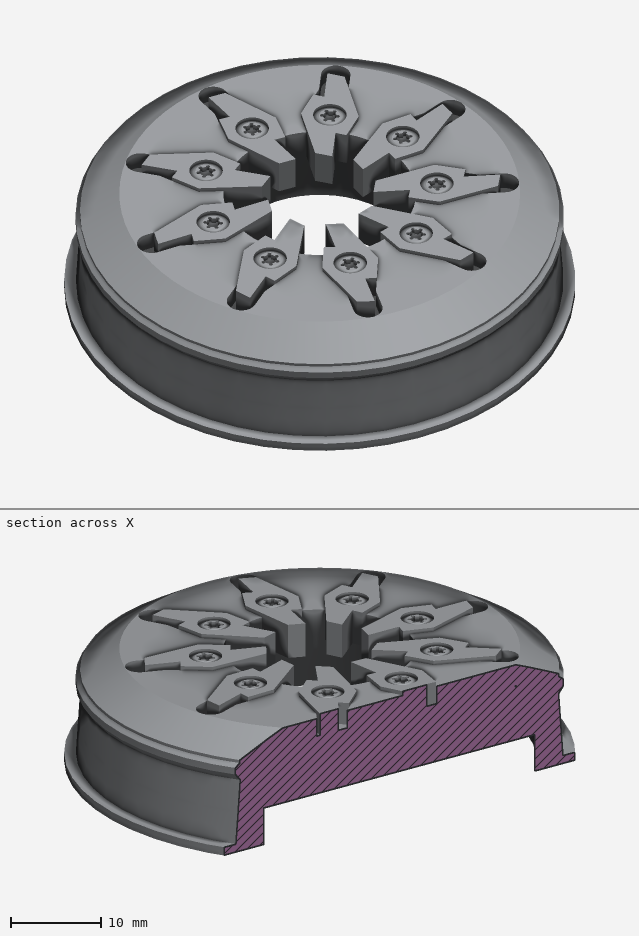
import cadquery as cq

flange_radius = 28.25
flange_height = 1.0
wall_foot_radius = 26.95
neck_radius = 26.47
bead_radius = 27.0
rim_radius = 26.5
neck_z = 8.6
bead_bottom_z = 9.4
bead_top_z = 10.2
shoulder_z = 10.65
rim_z = 11.0
face_radius = 22.15
face_z = 13.5

bore_radius = 10.65
recess_radius = 24.0
recess_depth = 4.4

insert_count = 9
insert_pitch = 360 / insert_count
insert_circle_radius = 13.0
insert_thickness = 4.0
insert_proud = 0.5
top_z = face_z + insert_proud
insert_bottom_z = top_z - insert_thickness
pocket_floor_z = 11.4

insert_half_width = 3.2
nose_corner = (1.05, 6.7)
nose_tip = (-0.89, 7.12)
notch_root = (-0.89, 3.05)
notch_corner_y = 3.35

slot_radius = 1.625
slot_edge_gap = 0.03
slot_end_radius = face_radius - slot_edge_gap - slot_radius

screw_hole_radius = 1.85
screw_head_flat_radius = 1.2
screw_gap_depth = 0.5
screw_flat_depth = 0.15
lobe_count = 6
lobe_radius = 0.22
lobe_tip_radius = 1.1
socket_core_radius = 0.75
socket_depth = 0.8
socket_cone_depth = 0.5


def edge_x(y):
    """Half width of the insert on its straight flank, at distance y from the screw."""
    return insert_half_width + (nose_corner[0] - insert_half_width) * abs(y) / nose_corner[1]


def place(shape, index):
    """Move a shape built about the screw axis to its place around the bore, the first at -Y."""
    turn = index * insert_pitch
    return shape.translate((0, -insert_circle_radius, 0)).rotate((0, 0, 0), (0, 0, 1), turn)


def make_body():
    profile = [
        (0, 0),
        (flange_radius, 0),
        (flange_radius, flange_height),
        (wall_foot_radius, flange_height),
        (neck_radius, neck_z),
        (bead_radius, bead_bottom_z),
        (bead_radius, bead_top_z),
        (rim_radius, shoulder_z),
        (rim_radius, rim_z),
        (face_radius, face_z),
        (0, face_z),
    ]
    body = cq.Workplane("XZ").polyline(profile).close().revolve(360, (0, 0, 0), (0, 1, 0))
    bore = cq.Workplane("XY").circle(bore_radius).extrude(face_z)
    recess = cq.Workplane("XY").circle(recess_radius).extrude(recess_depth)
    return body.cut(bore).cut(recess)


def make_pocket():
    """Seat of the insert without its notches, joined with the finger slot."""
    nose_x, nose_y = nose_corner
    seat = (
        cq.Workplane("XY", origin=(0, 0, pocket_floor_z))
        .polyline([
            (insert_half_width, 0),
            (nose_x, nose_y),
            (-nose_x, nose_y),
            (-insert_half_width, 0),
            (-nose_x, -nose_y),
            (nose_x, -nose_y),
        ])
        .close()
        .extrude(top_z - pocket_floor_z)
    )
    slot_length = slot_end_radius - insert_circle_radius
    slot = (
        cq.Workplane("XY", origin=(0, -slot_length / 2, pocket_floor_z))
        .slot2D(slot_length + 2 * slot_radius, 2 * slot_radius, 90)
        .extrude(top_z - pocket_floor_z)
    )
    return seat.union(slot)


def make_screw_recess():
    """Ring around the conical screw head, with a lobed socket that ends in a drill point."""
    ring = (
        cq.Workplane("XZ")
        .polyline([
            (0, top_z),
            (screw_hole_radius, top_z),
            (screw_hole_radius, top_z - screw_gap_depth),
            (screw_head_flat_radius, top_z - screw_flat_depth),
            (0, top_z - screw_flat_depth),
        ])
        .close()
        .revolve(360, (0, 0, 0), (0, 1, 0))
    )
    socket_z = top_z - socket_depth
    core = (
        cq.Workplane("XZ")
        .polyline([
            (0, top_z),
            (socket_core_radius, top_z),
            (socket_core_radius, socket_z),
            (0, socket_z - socket_cone_depth),
        ])
        .close()
        .revolve(360, (0, 0, 0), (0, 1, 0))
    )
    lobes = (
        cq.Workplane("XY", origin=(0, 0, socket_z))
        .polarArray(lobe_tip_radius - lobe_radius, 0, 360, lobe_count)
        .circle(lobe_radius)
        .extrude(socket_depth)
    )
    return ring.union(core).union(lobes)


def make_insert():
    half = [
        (insert_half_width, 0),
        nose_corner,
        nose_tip,
        notch_root,
        (-edge_x(notch_corner_y), notch_corner_y),
    ]
    other_half = [(-x, -y) for x, y in half]
    blank = (
        cq.Workplane("XY", origin=(0, 0, insert_bottom_z))
        .polyline(half + other_half)
        .close()
        .extrude(insert_thickness)
    )
    return blank.cut(make_screw_recess())


pocket = make_pocket()
insert = make_insert()

result = make_body()
for index in range(insert_count):
    result = result.cut(place(pocket, index))
for index in range(insert_count):
    result = result.union(place(insert, index))